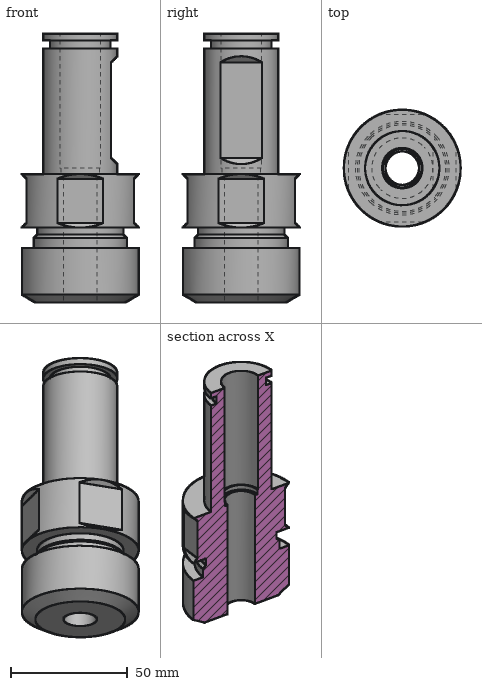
import cadquery as cq

total_height = 115
nut_diameter = 50.0
nut_radius = nut_diameter / 2
nut_face_radius = 19.2
nut_chamfer_height = 3.5
nut_top = 23.5

thread_radius = 20.0
thread_top = 27.6
neck_radius = 18.5
neck_bottom = thread_top + (thread_radius - neck_radius)

collar_radius = nut_radius
collar_bottom = 32.1
collar_top = 55.0
flat_distance = 23
flat_count = 4

shank_radius = 15.9
groove_radius = 13.0
groove_bottom = 108.7
groove_top = 112.1
clamp_distance = 13.2
clamp_bottom = 59.2
clamp_top = 105.3

bore_radius = 8.6
bore_step_radius = 8.3
through_radius = 7.1
bore_bottom = 57.5
bore_step_depth = 2.3

cut_margin = 5.8


def turned_body():
    """Solid of revolution carrying all outside diameters."""
    profile = [
        (0, 0),
        (nut_face_radius, 0),
        (nut_radius, nut_chamfer_height),
        (nut_radius, nut_top),
        (thread_radius, nut_top),
        (thread_radius, thread_top),
        (neck_radius, neck_bottom),
        (neck_radius, collar_bottom),
        (collar_radius, collar_bottom),
        (collar_radius, collar_top),
        (shank_radius, collar_top),
        (shank_radius, groove_bottom),
        (groove_radius, groove_bottom),
        (groove_radius, groove_top),
        (shank_radius, groove_top),
        (shank_radius, total_height),
        (0, total_height),
    ]
    return cq.Workplane("XZ").polyline(profile).close().revolve(360, (0, 0), (0, 1))


def flat_cutter(radius, distance, bottom, top):
    """Cutter for a flat on the +X side, with 45 degree ends meeting the given radius."""
    depth = radius - distance
    outside = radius + cut_margin
    section = [
        (distance, bottom + depth),
        (radius, bottom),
        (outside, bottom),
        (outside, top),
        (radius, top),
        (distance, top - depth),
    ]
    return cq.Workplane("XZ").polyline(section).close().extrude(radius, both=True)


def bore_cutter():
    """Wide upper bore, a short step, and a narrower hole through the nut."""
    step_bottom = bore_bottom - bore_step_depth
    through = cq.Workplane("XY").circle(through_radius).extrude(total_height)
    step = cq.Workplane("XY").workplane(offset=step_bottom).circle(bore_step_radius)
    step = step.extrude(bore_step_depth)
    bore = cq.Workplane("XY").workplane(offset=bore_bottom).circle(bore_radius)
    bore = bore.extrude(total_height - bore_bottom)
    return through.union(step).union(bore)


result = turned_body()

wrench_cutter = flat_cutter(collar_radius, flat_distance, collar_bottom, collar_top)
for index in range(flat_count):
    angle = index * 360 / flat_count
    result = result.cut(wrench_cutter.rotate((0, 0, 0), (0, 0, 1), angle))

result = result.cut(flat_cutter(shank_radius, clamp_distance, clamp_bottom, clamp_top))
result = result.cut(bore_cutter())